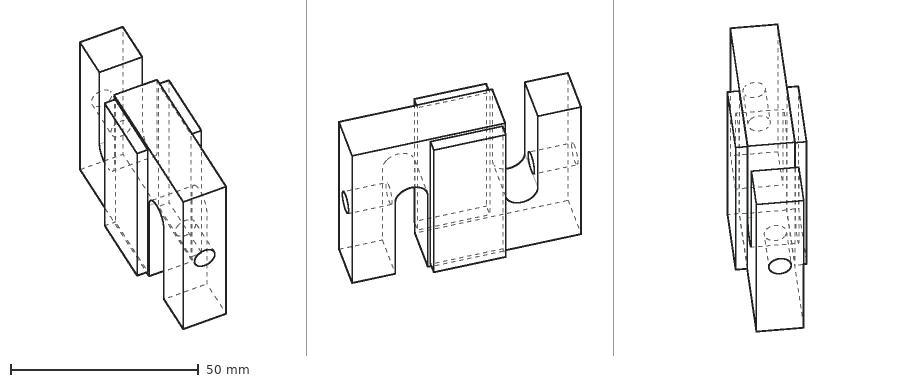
import cadquery as cq

body_length = 63.5
body_thickness = 12.7
body_height = 50.8

slot_width = 9.0
slot_depth = 33.0
arm_width = 12.0

cover_length = 20.0
cover_height = 48.8
cover_thickness = 3.175

hole_diameter = 6.0

slot_radius = slot_width / 2
slot_offset = body_length / 2 - arm_width - slot_radius


def make_slot_cutter(center_x, direction):
    """Slot through Y; direction is +1 for open at the top, -1 for open at the bottom."""
    open_z = direction * body_height / 2
    arc_center_z = open_z - direction * (slot_depth - slot_radius)
    round_tip_z = open_z - direction * slot_depth
    left_x = center_x - slot_radius
    right_x = center_x + slot_radius
    return (
        cq.Workplane("XZ")
        .workplane(offset=-body_thickness / 2)
        .moveTo(left_x, open_z)
        .lineTo(left_x, arc_center_z)
        .threePointArc((center_x, round_tip_z), (right_x, arc_center_z))
        .lineTo(right_x, open_z)
        .close()
        .extrude(body_thickness)
    )


def make_arm_hole_cutter(side):
    """Hole at mid-height from an end face into its slot; side is -1 or +1 along X."""
    reach = arm_width + slot_radius
    return (
        cq.Workplane("YZ")
        .workplane(offset=side * body_length / 2)
        .circle(hole_diameter / 2)
        .extrude(-side * reach)
    )


def make_covers():
    """Both cover plates as one block passing through the middle of the body."""
    return cq.Workplane("XY").box(
        cover_length, body_thickness + 2 * cover_thickness, cover_height
    )


result = cq.Workplane("XY").box(body_length, body_thickness, body_height)
for side in (-1, 1):
    result = result.cut(make_slot_cutter(side * slot_offset, -side))
    result = result.cut(make_arm_hole_cutter(side))
result = result.union(make_covers())